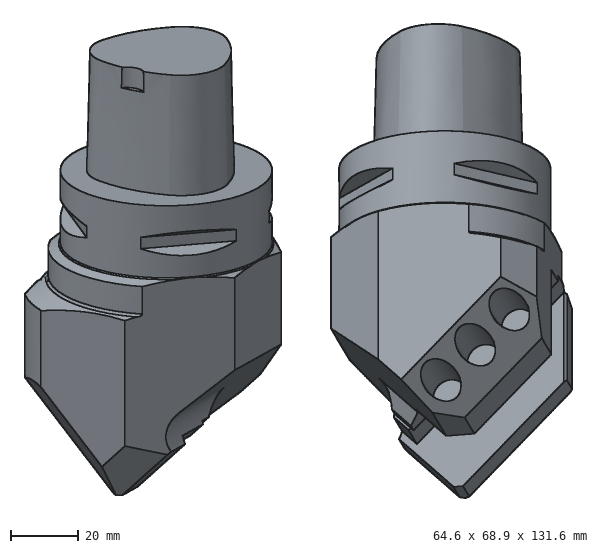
import cadquery as cq
import math

ROOT2 = math.sqrt(2)
OVERSIZE = 263.2

total_height = 131.6
shank_height = 37.6
lobe_offset = 9.2
lobe_radius = 14.5
flank_distance = 20.3
shank_top_inset = 0.9
notch_radius = 5.3
notch_depth = 6.5
notch_wall_y = -17.6

flange_radius = 63.0 / 2
flange_height = 22.8
lip_radius = 32.0
lip_z = -23.2
collar_radius = 35.1
collar_top_z = -24.5
collar_bottom_z = -33.2
collar_fillet = 0.8
cone_slope = 0.47

slot_z = -12.1
slot_floor_width = 3.5
slot_mouth_width = 7.6
slot_floor_distance = 27.9

left_x = -32.9
right_x = 31.7
front_y = -36.8
back_y = 32.1
corner_radius = 42.5
back_left_chamfer = 9.0
back_right_chamfer = 18.4
front_right_flat = 31.7

bottom_z = shank_height - total_height
apex_z = -95.4
shoulder_apex_z = -85.0
web_apex_z = -90.7
deep_web_apex_z = -92.0
relief_radius = 10.5
relief_center_x = 27.4
front_bevel = 9.2
back_bevel_y = 15.8
back_jaw_bottom_z = -85.9

slot_back_y = 2.2
slot_step_y = -7.1
slot_front_y = -18.8
jaw_edge_chamfer = 0.8
slot_floor_apex_z = -68.5
slot_deep_apex_z = -66.8
web_chamfer_top_y = 0.0
web_chamfer_low_y = -3.4

screw_count = 3
first_screw_z = -56.5
screw_step = 10.4
screw_line_apex_z = -81.6
screw_hole_diameter = 10.5
screw_hole_end_y = 11.8
screw_diameter = 7.0
screw_tip_y = 0.1
screw_chamfer = 0.5


def half_space(point, normal):
    """Large block on the side of a plane that its normal points to."""
    plane = cq.Plane(origin=point, normal=normal)
    return cq.Workplane(plane).rect(OVERSIZE, OVERSIZE).extrude(OVERSIZE)


def prism_along_y(outline, y_from, y_to):
    """Extrude a closed XZ outline between two Y positions."""
    return outline.extrude(y_from - y_to).translate((0, y_from, 0))


def polar(radius, degrees):
    """XY point at a radius and an angle in degrees."""
    angle = math.radians(degrees)
    return (radius * math.cos(angle), radius * math.sin(angle))


def three_lobed_section(workplane, inset):
    """Closed outline of three lobe arcs joined by tangent flank arcs, one lobe at +Y."""
    radius = lobe_radius - inset
    gap = flank_distance - lobe_radius
    flank_center = (lobe_offset**2 - gap**2) / (2 * gap - lobe_offset)
    lobe_x, lobe_y = polar(lobe_offset, -30)
    half_sweep = 90 - math.degrees(math.atan2(flank_center - lobe_y, lobe_x))
    tangent_x, tangent_y = polar(radius, half_sweep - 90)
    seam_x = lobe_x + tangent_x
    seam_y = lobe_y + tangent_y
    seam_distance = math.hypot(seam_x, seam_y)
    seam_angle = math.degrees(math.atan2(seam_y, seam_x))

    outline = workplane.moveTo(seam_x, seam_y)
    for lobe_angle in (-30, 90, 210):
        lobe_end = polar(seam_distance, lobe_angle - 30 - seam_angle)
        flank_end = polar(seam_distance, seam_angle + lobe_angle + 150)
        outline = outline.threePointArc(polar(lobe_offset + radius, lobe_angle), lobe_end)
        outline = outline.threePointArc(polar(flank_distance - inset, lobe_angle + 60), flank_end)
    return outline.close()


def make_shank():
    base = three_lobed_section(cq.Workplane("XY"), 0)
    shank = three_lobed_section(base.workplane(offset=shank_height), shank_top_inset).loft(combine=True)
    notch = (
        cq.Workplane("XY", origin=(0, notch_wall_y - notch_radius, shank_height - notch_depth))
        .circle(notch_radius)
        .extrude(notch_depth)
    )
    return shank.cut(notch)


def make_turned_envelope():
    """Flange, collar and cone as one turned blank."""
    outer_radius = 52.6
    cone_start_radius = collar_radius + collar_fillet
    cone_start_z = collar_bottom_z - collar_fillet
    cone_end_z = cone_start_z - cone_slope * (outer_radius - cone_start_radius)
    fillet_inset = collar_fillet / ROOT2
    fillet_middle = (cone_start_radius - fillet_inset, collar_bottom_z - fillet_inset)
    return (
        cq.Workplane("XZ")
        .lineTo(flange_radius, 0)
        .lineTo(flange_radius, -flange_height)
        .lineTo(lip_radius, lip_z)
        .lineTo(collar_radius, collar_top_z)
        .lineTo(collar_radius, collar_bottom_z)
        .threePointArc(fillet_middle, (cone_start_radius, cone_start_z))
        .lineTo(outer_radius, cone_end_z)
        .lineTo(outer_radius, bottom_z)
        .lineTo(0, bottom_z)
        .close()
        .revolve(360, (0, 0, 0), (0, 1, 0))
    )


def make_plan():
    flat_sum = front_right_flat * ROOT2
    arc_start_y = -math.sqrt(corner_radius**2 - left_x**2)
    arc_end_x = -math.sqrt(corner_radius**2 - front_y**2)
    middle_angle = (math.atan2(arc_start_y, left_x) + math.atan2(front_y, arc_end_x)) / 2
    arc_middle = (corner_radius * math.cos(middle_angle), corner_radius * math.sin(middle_angle))
    return (
        cq.Workplane("XY")
        .moveTo(left_x, arc_start_y)
        .threePointArc(arc_middle, (arc_end_x, front_y))
        .lineTo(flat_sum + front_y, front_y)
        .lineTo(right_x, right_x - flat_sum)
        .lineTo(right_x, back_y - back_right_chamfer)
        .lineTo(right_x - back_right_chamfer, back_y)
        .lineTo(left_x + back_left_chamfer, back_y)
        .lineTo(left_x, back_y - back_left_chamfer)
        .close()
        .extrude(bottom_z)
    )


def make_side_profile():
    """Pointed XZ silhouette with a rounded relief behind the tip."""
    half_tip = bottom_z - apex_z
    center_x = relief_center_x
    center_z = center_x + shoulder_apex_z - relief_radius * ROOT2
    tangent = (center_x - relief_radius / ROOT2, center_z + relief_radius / ROOT2)
    leftmost = (center_x - relief_radius, center_z)
    offset = center_z - center_x - apex_z
    drop = (offset + math.sqrt(2 * relief_radius**2 - offset**2)) / 2
    end_z = center_z - drop
    outline = (
        cq.Workplane("XZ")
        .moveTo(left_x, 0)
        .lineTo(left_x, apex_z - left_x)
        .lineTo(-half_tip, bottom_z)
        .lineTo(half_tip, bottom_z)
        .lineTo(end_z - apex_z, end_z)
        .threePointArc(leftmost, tangent)
        .lineTo(right_x, right_x + shoulder_apex_z)
        .lineTo(right_x, 0)
        .close()
    )
    return prism_along_y(outline, front_y, back_y)


def make_flange_slots():
    reach = 2 * flange_radius - slot_floor_distance
    flare = (slot_mouth_width - slot_floor_width) / 2 / (flange_radius - slot_floor_distance)
    floor_half = slot_floor_width / 2
    reach_half = floor_half + flare * (reach - slot_floor_distance)
    profile = [
        (slot_floor_distance, slot_z - floor_half),
        (slot_floor_distance, slot_z + floor_half),
        (reach, slot_z + reach_half),
        (reach, slot_z - reach_half),
    ]
    cutter = cq.Workplane("XZ").polyline(profile).close().extrude(flange_radius, both=True)
    slots = cq.Workplane("XY")
    for angle in (45, 135, 225, 315):
        slots = slots.add(cutter.rotate((0, 0, 0), (0, 0, 1), angle))
    return slots.combine()


def below_slope(slope_apex_z, y_from, y_to):
    """Everything below a slope that falls from left to right."""
    reach = OVERSIZE / 2
    outline = (
        cq.Workplane("XZ")
        .moveTo(-reach, slope_apex_z + reach)
        .lineTo(reach, slope_apex_z - reach)
        .lineTo(-reach, slope_apex_z - reach)
        .close()
    )
    return prism_along_y(outline, y_from, y_to)


def make_right_trim():
    """Clear the tip material beside the front jaw, with a slanted transition."""
    deepest = (deep_web_apex_z - apex_z) / ROOT2
    deep = (web_apex_z - apex_z) / ROOT2
    high = (shoulder_apex_z - apex_z) / ROOT2
    slope_plane = cq.Plane(origin=(0, 0, apex_z), xDir=(0, 1, 0), normal=(1, 0, 1))
    outline = [
        (slot_front_y, -OVERSIZE),
        (slot_front_y, deepest),
        (slot_step_y, deepest),
        (slot_step_y, deep),
        (web_chamfer_low_y, deep),
        (web_chamfer_top_y, high),
        (back_y, high),
        (back_y, -OVERSIZE),
    ]
    return cq.Workplane(slope_plane).polyline(outline).close().extrude(OVERSIZE, both=True)


def screw_centers():
    for index in range(screw_count):
        z = first_screw_z - index * screw_step
        yield (screw_line_apex_z - z, z)


def make_screw_cylinder(center, diameter, y_from, y_to):
    x, z = center
    outline = cq.Workplane("XZ").center(x, z).circle(diameter / 2)
    return prism_along_y(outline, y_from, y_to)


flange = cq.Workplane("XY").circle(flange_radius).extrude(-flange_height)
head = make_turned_envelope().intersect(make_plan()).intersect(make_side_profile())
head = head.union(flange)
head = head.cut(make_flange_slots())

head = head.cut(half_space((0, front_y + front_bevel, apex_z), (-1, -ROOT2, -1)))
head = head.cut(half_space((0, front_y + front_bevel, apex_z), (1, -ROOT2, -1)))
head = head.cut(half_space((0, back_bevel_y, apex_z), (-1, ROOT2, -1)))

head = head.cut(below_slope(slot_floor_apex_z, slot_step_y, slot_back_y))
head = head.cut(below_slope(slot_deep_apex_z, slot_front_y, slot_step_y))
head = head.cut(make_right_trim())
below_back_jaw = half_space((0, 0, back_jaw_bottom_z), (0, 0, -1))
behind_slot = half_space((0, slot_back_y, 0), (0, 1, 0))
head = head.cut(below_back_jaw.intersect(behind_slot))

slot_mouth_z = slot_deep_apex_z - left_x
jaw_edge = cq.Workplane("XY", origin=(left_x, slot_front_y, slot_mouth_z))
head = head.cut(
    jaw_edge.polyline([(0, 0), (jaw_edge_chamfer, 0), (0, -jaw_edge_chamfer)]).close().extrude(bottom_z)
)

for center in screw_centers():
    head = head.cut(make_screw_cylinder(center, screw_hole_diameter, screw_hole_end_y, back_y))
    screw = make_screw_cylinder(center, screw_diameter, screw_tip_y, screw_hole_end_y)
    head = head.union(screw.faces("<Y").chamfer(screw_chamfer))

result = head.union(make_shank())